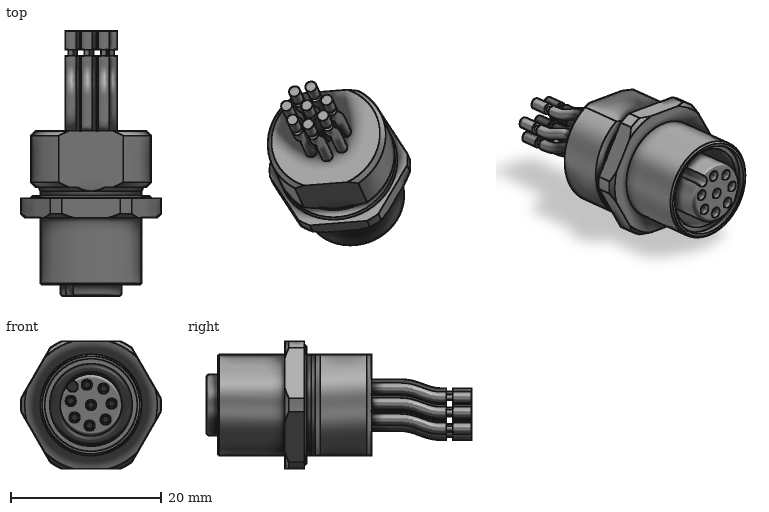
import cadquery as cq
import math


shell_diameter = 13.5
shell_front = 1.5
shell_edge_chamfer = 0.25
counterbore_diameter = 12.3
counterbore_depth = 0.8
bore_diameter = 10.98
bore_depth = 8.5
body_diameter = 16.0
body_rear = 22.0
body_rear_chamfer = 0.65
body_flats_width = shell_diameter
neck_end = 13.98
collar_start = 14.5
collar_diameter = 14.74
collar_step_diameter = 14.0
body_cylinder_start = 15.15

insert_diameter = 8.2
insert_edge_radius = 0.5
contact_circle_radius = 2.75
contact_count = 7
contact_pitch_angle = 48.85
key_angle = 135.0
key_width = 1.4
key_centre_radius = 3.45
socket_diameter = 1.4
socket_depth = 3.0
contact_bore_diameter = 0.9
contact_bore_depth = 2.0

nut_across_flats = 17.0
nut_corner_diameter = 18.69
nut_front = 10.45
nut_rear = 13.05
nut_chamfer = 0.53
washer_diameter = 16.0
washer_thickness = 0.3
washer_chamfer = 0.25

wire_diameter = 1.5
strand_diameter = 0.7
bend_start = 25.85
bend_end = 31.3
bend_drop = 1.2
sleeve_end = 31.95
terminal_start = 32.8
terminal_end = 35.3
wire_embed = 0.5

ring_radius = (bore_diameter - insert_diameter) / 4
ring_centre_radius = insert_diameter / 2 + ring_radius
bore_floor = shell_front + bore_depth


def cylinder(diameter, start, end, x=0.0, z=0.0):
    """Cylinder parallel to Y between two stations."""
    origin = (x, start, z)
    plane = cq.Plane(origin=origin, xDir=(1, 0, 0), normal=(0, 1, 0))
    return cq.Workplane(plane).circle(diameter / 2).extrude(end - start)


def revolved(profile):
    """Revolve a closed (radius, y) profile about the Y axis."""
    return profile.close().revolve(360, (0, 0, 0), (0, 1, 0))


def at_angle(radius, angle):
    """X and Z of a point on a circle about the connector axis."""
    radians = math.radians(angle)
    return radius * math.cos(radians), radius * math.sin(radians)


def contact_positions():
    """Centre contact plus a ring of contacts whose wide gap faces the keyway."""
    ring_gap = 360 - (contact_count - 1) * contact_pitch_angle
    first_angle = key_angle + ring_gap / 2
    ring = [
        at_angle(contact_circle_radius, first_angle + i * contact_pitch_angle)
        for i in range(contact_count)
    ]
    return [(0.0, 0.0)] + ring


def make_front_section():
    """Shell and insert; the bore between them ends in a rounded sealing ring."""
    shell_radius = shell_diameter / 2
    bore_radius = bore_diameter / 2
    insert_radius = insert_diameter / 2
    counterbore_radius = counterbore_diameter / 2
    counterbore_floor = shell_front + counterbore_depth
    ring_crest = (ring_centre_radius, bore_floor - ring_radius)
    edge_middle = insert_edge_radius * (1 - math.sqrt(0.5))
    profile = (
        cq.Workplane("XY")
        .moveTo(0, 0)
        .lineTo(insert_radius - insert_edge_radius, 0)
        .threePointArc((insert_radius - edge_middle, edge_middle), (insert_radius, insert_edge_radius))
        .lineTo(insert_radius, bore_floor)
        .threePointArc(ring_crest, (bore_radius, bore_floor))
        .lineTo(bore_radius, counterbore_floor)
        .lineTo(counterbore_radius, counterbore_floor)
        .lineTo(counterbore_radius, shell_front)
        .lineTo(shell_radius - shell_edge_chamfer, shell_front)
        .lineTo(shell_radius, shell_front + shell_edge_chamfer)
        .lineTo(shell_radius, neck_end)
        .lineTo(0, neck_end)
    )
    return revolved(profile)


def make_rear_body():
    """Round body stepping out from the neck, with wrench flats above and below."""
    body_radius = body_diameter / 2
    profile = (
        cq.Workplane("XY")
        .moveTo(0, neck_end)
        .lineTo(shell_diameter / 2, neck_end)
        .lineTo(collar_step_diameter / 2, collar_start)
        .lineTo(collar_diameter / 2, collar_start)
        .lineTo(body_radius, body_cylinder_start)
        .lineTo(body_radius, body_rear - body_rear_chamfer)
        .lineTo(body_radius - body_rear_chamfer, body_rear)
        .lineTo(0, body_rear)
    )
    flats = (
        cq.Workplane("XY")
        .box(2 * body_diameter, 2 * body_rear, body_flats_width)
        .translate((0, body_rear, 0))
    )
    return revolved(profile).intersect(flats)


def make_nut():
    """Hexagon with flats facing +Z and -Z, rounded corners and a chamfered front."""
    corner_radius = nut_corner_diameter / 2
    across_corners = nut_across_flats / math.cos(math.radians(30))
    plane = cq.Plane(origin=(0, nut_front, 0), xDir=(1, 0, 0), normal=(0, 1, 0))
    hexagon = cq.Workplane(plane).polygon(6, across_corners).extrude(nut_rear - nut_front)
    envelope = (
        cq.Workplane("XY")
        .moveTo(0, nut_front)
        .lineTo(corner_radius - nut_chamfer, nut_front)
        .lineTo(corner_radius, nut_front + nut_chamfer)
        .lineTo(corner_radius, nut_rear)
        .lineTo(0, nut_rear)
    )
    washer = cylinder(washer_diameter, nut_rear, nut_rear + washer_thickness)
    washer = washer.faces(">Y").chamfer(washer_chamfer)
    return hexagon.intersect(revolved(envelope)).union(washer)


def make_wire(x, z):
    """Wire leaving the body, dropping through an S-bend to a crimped terminal."""
    low_z = z - bend_drop
    along_axis = (1, 0)
    path = cq.Workplane("YZ", origin=(x, 0, 0)).spline(
        [(bend_start, z), (bend_end, low_z)],
        tangents=[along_axis, along_axis],
    )
    start_plane = cq.Plane(origin=(x, bend_start, z), xDir=(1, 0, 0), normal=(0, 1, 0))
    bend = cq.Workplane(start_plane).circle(wire_diameter / 2).sweep(path)
    return (
        cylinder(wire_diameter, body_rear - wire_embed, bend_start, x, z)
        .union(bend)
        .union(cylinder(wire_diameter, bend_end, sleeve_end, x, low_z))
        .union(cylinder(strand_diameter, sleeve_end, terminal_start, x, low_z))
        .union(cylinder(wire_diameter, terminal_start, terminal_end, x, low_z))
    )


def cut_contacts(part):
    """Stepped contact sockets in the mating face."""
    contact_bore_end = socket_depth + contact_bore_depth
    for x, z in contact_positions():
        part = part.cut(cylinder(socket_diameter, 0, socket_depth, x, z))
        part = part.cut(cylinder(contact_bore_diameter, socket_depth, contact_bore_end, x, z))
    return part


def cut_keyway(part):
    """U-shaped coding groove along the side of the insert, ending at the sealing ring."""
    groove_end = bore_floor - ring_radius
    wall_length = ring_centre_radius - key_centre_radius
    round_bottom = cylinder(key_width, 0, groove_end, x=key_centre_radius)
    walls = (
        cq.Workplane("XY")
        .box(wall_length, groove_end, key_width, centered=(False, False, True))
        .translate((key_centre_radius, 0, 0))
    )
    groove = round_bottom.union(walls).rotate((0, 0, 0), (0, 1, 0), -key_angle)
    return part.cut(groove)


result = make_front_section().union(make_rear_body()).union(make_nut())
result = cut_keyway(cut_contacts(result))
for wire_x, wire_z in contact_positions():
    result = result.union(make_wire(wire_x, wire_z))